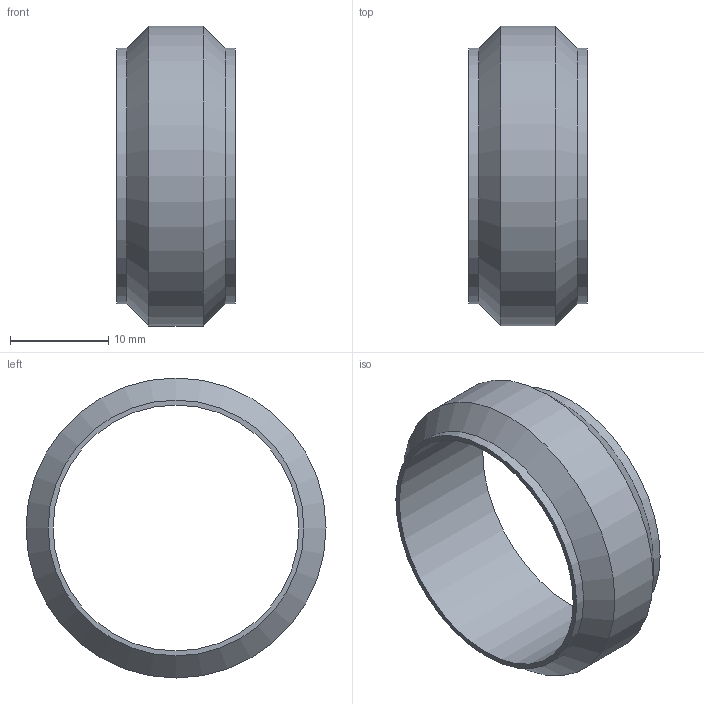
import cadquery as cq

width = 12.0
bore_diameter = 25.0
lip_diameter = 26.0
outer_diameter = 30.5
lip_length = 1.0

bore_radius = bore_diameter / 2
lip_radius = lip_diameter / 2
outer_radius = outer_diameter / 2
half_width = width / 2
shoulder_x = half_width - lip_length
bevel = outer_radius - lip_radius
crown_x = shoulder_x - bevel


def ring():
    """Revolve the half section around X: end lips, 45 degree flanks, flat crown."""
    section = [
        (-half_width, bore_radius),
        (-half_width, lip_radius),
        (-shoulder_x, lip_radius),
        (-crown_x, outer_radius),
        (crown_x, outer_radius),
        (shoulder_x, lip_radius),
        (half_width, lip_radius),
        (half_width, bore_radius),
    ]
    return cq.Workplane("XY").polyline(section).close().revolve(360, (0, 0, 0), (1, 0, 0))


result = ring()